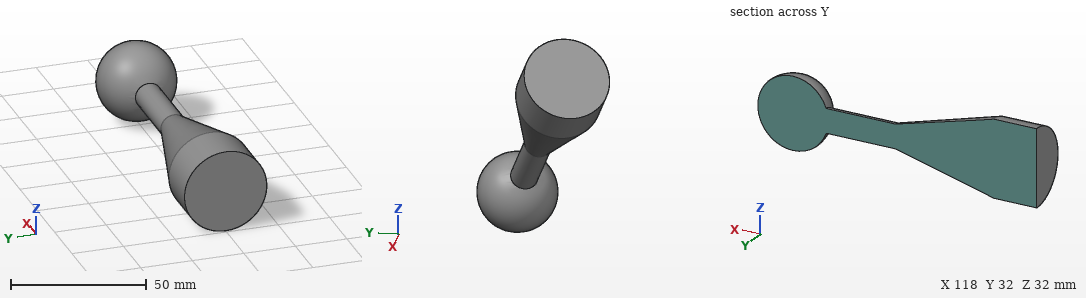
import cadquery as cq

total_length = 118.0
base_diameter = 32.0
base_length = 18.0
cone_end = 59.7
neck_diameter = 10.1
ball_diameter = 30.0

base_radius = base_diameter / 2
neck_radius = neck_diameter / 2
ball_center = total_length - ball_diameter / 2

handle = (
    cq.Workplane("XY")
    .moveTo(0, 0)
    .lineTo(0, base_radius)
    .lineTo(base_length, base_radius)
    .lineTo(cone_end, neck_radius)
    .lineTo(ball_center, neck_radius)
    .lineTo(ball_center, 0)
    .close()
    .revolve(360, (0, 0, 0), (1, 0, 0))
)

ball = cq.Workplane("XY").sphere(ball_diameter / 2).translate((ball_center, 0, 0))

result = handle.union(ball)